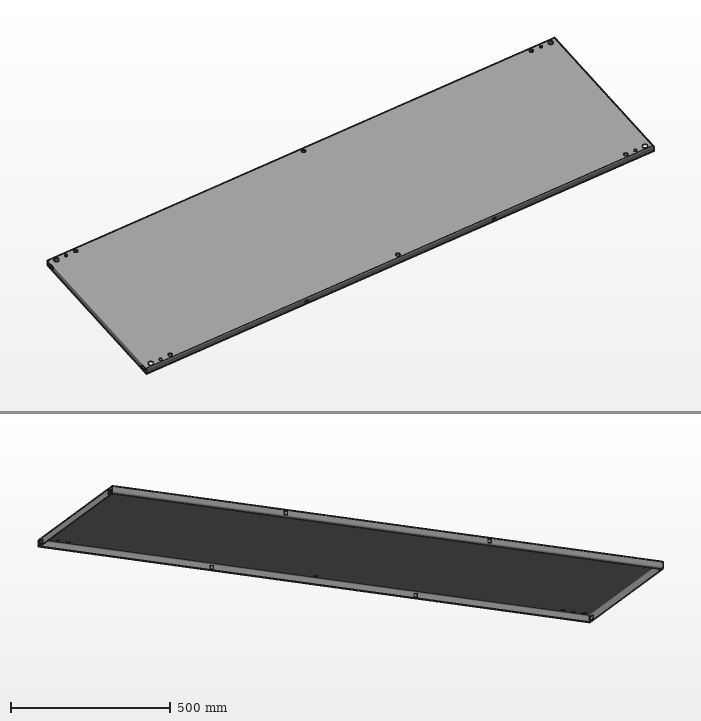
import cadquery as cq

LENGTH = 1888.0
WIDTH = 587.0
HEIGHT = 26.0
SHEET = 2.5
TOP = HEIGHT / 2

SIDE_BEND = 6.2
END_BEND = 4.0
LIP_WIDTH = 8.5
CORNER_SLIT = 2.0
END_FLANGE_WIDTH = WIDTH - 2 * (SHEET + CORNER_SLIT)

HOLE_ROW_X = 278.0
MOUNTING_HOLE_DIAMETER = 17.0
MOUNTING_HOLE_Y = 920.0
SMALL_HOLE_DIAMETER = 10.0
SMALL_HOLE_Y = 884.0
COUNTERSINK_DIAMETER = 14.7
SCREW_HOLE_DIAMETER = 10.0
SCREW_HOLE_Y = 848.0

END_SLOT_X = 270.0
END_SLOT_Z = -2.0
END_SLOT_LENGTH = 23.0
END_SLOT_HEIGHT = 13.0

PLUG_WIDTH = 11.0
PLUG_HEIGHT = 11.0
PLUG_Y = 350.0

SIDES = (-1, 1)


def side_profile(inset):
    """Full-length bar with rounded long edges, inset from the outer faces of the sides."""
    bar = cq.Workplane("XY").box(WIDTH - 2 * inset, LENGTH, HEIGHT - 2 * inset)
    return bar.edges("|Y").fillet(SIDE_BEND - inset)


def end_profile(width, inset):
    """Bar with rounded upper end edges, inset from the outer faces of the top and ends."""
    bar = cq.Workplane("XY").box(width, LENGTH - 2 * inset, HEIGHT)
    return bar.edges("|X and >Z").fillet(END_BEND - inset).translate((0, 0, -inset))


def make_folded_sheet():
    """Top sheet with lipped side flanges along X and plain flanges at the ends."""
    mouth = cq.Workplane("XY").box(WIDTH - 2 * LIP_WIDTH, LENGTH, HEIGHT).translate((0, 0, -TOP))
    sides = side_profile(0).cut(side_profile(SHEET)).cut(mouth)
    ends = end_profile(END_FLANGE_WIDTH, 0).cut(end_profile(END_FLANGE_WIDTH, SHEET))
    return sides.union(ends).intersect(end_profile(WIDTH, 0))


def drill_top(panel, points, diameter):
    return panel.cut(cq.Workplane("XY").pushPoints(points).circle(diameter / 2).extrude(HEIGHT))


def countersink_top(panel, points):
    """Conical screw holes that narrow through the thickness of the top sheet."""
    cone = cq.Solid.makeCone(
        SCREW_HOLE_DIAMETER / 2, COUNTERSINK_DIAMETER / 2, SHEET, pnt=cq.Vector(0, 0, TOP - SHEET)
    )
    for x, y in points:
        panel = panel.cut(cq.Workplane(cone.translate(cq.Vector(x, y, 0))))
    return panel


def slot_ends(panel):
    """Slots near the corners, cut straight through both end flanges."""
    points = [(side * END_SLOT_X, END_SLOT_Z) for side in SIDES]
    slots = cq.Workplane("XZ").pushPoints(points).slot2D(END_SLOT_LENGTH, END_SLOT_HEIGHT)
    return panel.cut(slots.extrude(LENGTH, both=True))


def hole_row_points(y):
    """Four points on the two hole rows, at equal distances from the middle."""
    return [(side * HOLE_ROW_X, end * y) for side in SIDES for end in SIDES]


def make_plug(side, end):
    """Rectangular plug that fills an opening in a side flange."""
    plug = cq.Workplane("XY").box(SHEET, PLUG_WIDTH, PLUG_HEIGHT)
    return plug.translate((side * (WIDTH - SHEET) / 2, end * PLUG_Y, 0))


plugs = [make_plug(side, end) for side in SIDES for end in SIDES]

middle_points = [(side * HOLE_ROW_X, 0) for side in SIDES]
panel = make_folded_sheet()
panel = drill_top(panel, hole_row_points(MOUNTING_HOLE_Y), MOUNTING_HOLE_DIAMETER)
panel = drill_top(panel, hole_row_points(SMALL_HOLE_Y), SMALL_HOLE_DIAMETER)
panel = countersink_top(panel, hole_row_points(SCREW_HOLE_Y) + middle_points)
panel = slot_ends(panel)
for plug in plugs:
    panel = panel.cut(plug)

result = cq.Compound.makeCompound([panel.val(), *[plug.val() for plug in plugs]])